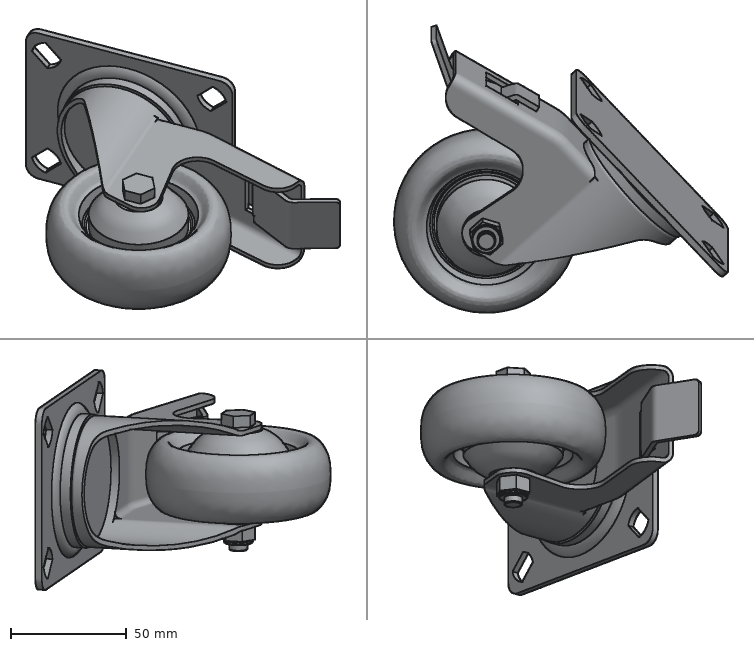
import cadquery as cq
import math


overall_length = 158.5
overall_height = 108.0
wheel_diameter = 80.0
wheel_offset = 32.0
wheel_radius = wheel_diameter / 2
axle_x = wheel_offset
axle_y = wheel_radius - overall_height

plate_length = 97.0
plate_width = 80.0
plate_thickness = 3.0
plate_corner_radius = 6.0
dish_radius = 33.6
dish_depth = 2.5
slot_spacing_x = 77.7
slot_spacing_z = 57.9
slot_width = 9.0
slot_side_length = 10.1
slot_end_bulge = 1.3
slot_angle = 45.0

ring_radius = 29.0
ring_top = plate_thickness + dish_depth
ring_bottom = 10.1

sheet = 2.0
head_radius = 28.5
head_round = 1.6
skirt_front_bottom = 15.2
skirt_curve_start = (-20.5, -16.8)
skirt_curve_end = (-12.5, -22.7)
toe_curve_start = (16.2, -70.4)
toe_curve_end = (20.1, -73.9)
notch_start = (38.8, -46.3)
notch_middle = (41.8, -37.4)
notch_end = (52.8, -34.2)
arm_outer = 22.0
arm_inner = arm_outer - sheet
web_top = 14.0
web_bottom = web_top + sheet
web_edge_radius = 5.0
blend_radius = 3.0
web_bend_x = 42.2
web_bend_radius = 23.8
web_slope = math.radians(16.6)
arm_end_x = 93.5
arm_end_depth = 16.0
arm_end_radius = 10.0
tip_x = 34.0
tip_y = -69.6
tip_radius = 8.0
tip_start_angle = -104.0
tip_end_angle = 8.0
fork_reach = 95.1

pedal_thickness = 2.4
pedal_half_width = 12.7
pedal_corner_radius = 2.0
pedal_bend_radius = 2.0
tab_half_width = 9.4
tab_gap = 0.8
tab_start_x = 55.2
tab_end_x = 66.0
lever_top = (69.7, -24.4)
lever_bend = (89.5, -35.0)
tab_joint = ((lever_top[0] + lever_bend[0]) / 2, (lever_top[1] + lever_bend[1]) / 2)
foot_slope = math.radians(23.7)
slot_start_x = 63.4
slot_end_x = 79.0
slot_half_width = 10.8

tyre_half_width = 15.0
crest_radius = 32.2
tread_shoulder = (36.5, 12.7)
tyre_step_radius = 25.8
tyre_step_z = 10.3
tyre_inner_wall = (28.5, 12.5)
hub_radius = 24.4
hub_lip_radius = 23.5
hub_groove_radius = 22.7
hub_face_z = 4.8
hub_groove_depth = 1.0
dome_radius = 21.5
dome_edge_z = 10.8
dome_flat_radius = 10.5
dome_middle = (17.8, 15.5)

bolt_radius = 4.0
wrench_size = 13.0
hex_diameter = wrench_size / math.cos(math.radians(30))
bolt_head_height = 5.0
bolt_end_z = -33.3
bolt_end_chamfer = 0.5
nut_height = 6.3
collar_radius = 6.3
collar_height = 1.7
collar_chamfer = 0.5


def polar(center, radius, degrees):
    """Point at an angle on a circle in the XY plane."""
    angle = math.radians(degrees)
    return (center[0] + radius * math.cos(angle), center[1] + radius * math.sin(angle))


def web_point(x, height=0.0):
    """Point on the sloping web's top line at x, moved out by a height along its normal."""
    y = -web_top - (x - web_bend_x) * math.tan(web_slope)
    return (x + height * math.sin(web_slope), y + height * math.cos(web_slope))


def below(depth):
    """Horizontal plane at a depth below the plate top, extruding downwards."""
    return cq.Workplane("XZ", origin=(0, -depth, 0))


def disc(radius, top, bottom):
    return below(top).circle(radius).extrude(bottom - top)


def axle_cylinder(radius, z_start, z_end):
    return (
        cq.Workplane("XY", origin=(axle_x, axle_y, z_start)).circle(radius).extrude(z_end - z_start)
    )


def axle_hexagon(z_start, z_end, turn):
    hexagon = cq.Workplane("XY", origin=(axle_x, axle_y, z_start)).transformed(rotate=(0, 0, turn))
    return hexagon.polygon(6, hex_diameter).extrude(z_end - z_start)


def slab(outline, half_width):
    """Closed XY outline extruded evenly to both sides of the middle plane."""
    return outline.extrude(half_width, both=True)


def slot_cutter(side_x, side_z):
    half_length = slot_side_length / 2
    half_width = slot_width / 2
    end = half_length + slot_end_bulge
    return (
        below(0)
        .center(side_x * slot_spacing_x / 2, side_z * slot_spacing_z / 2)
        .transformed(rotate=(0, 0, side_x * side_z * slot_angle))
        .moveTo(-half_length, -half_width)
        .lineTo(half_length, -half_width)
        .threePointArc((end, 0), (half_length, half_width))
        .lineTo(-half_length, half_width)
        .threePointArc((-end, 0), (-half_length, -half_width))
        .close()
        .extrude(plate_thickness)
    )


def make_dish():
    """Round bulge whose curved rim runs out level at the swivel ring."""
    return (
        cq.Workplane("XY")
        .moveTo(0, -ring_top)
        .lineTo(ring_radius, -ring_top)
        .tangentArcPoint((dish_radius, -plate_thickness), relative=False)
        .lineTo(0, -plate_thickness)
        .close()
        .revolve(360, (0, 0, 0), (0, 1, 0))
    )


def make_plate():
    plate = below(0).rect(plate_length, plate_width).extrude(plate_thickness)
    plate = plate.edges("|Y").fillet(plate_corner_radius)
    plate = plate.union(make_dish())
    for side_x in (-1, 1):
        for side_z in (-1, 1):
            plate = plate.cut(slot_cutter(side_x, side_z))
    return plate


def make_swivel_ring():
    return disc(ring_radius, ring_top, ring_bottom)


def skirt_block(inset, top):
    """Half-round block that blends into the arm faces; inset moves its walls inwards."""
    radius = head_radius - inset
    half_width = arm_outer - inset
    blend = blend_radius + inset
    blend_z = half_width + blend
    blend_x = math.sqrt((radius + blend) ** 2 - blend_z**2)
    ratio = radius / (radius + blend)
    join = (blend_x * ratio, blend_z * ratio)
    middle_angle = (math.atan2(-blend_z, -blend_x) - math.pi / 2) / 2
    middle = (blend_x + blend * math.cos(middle_angle), blend_z + blend * math.sin(middle_angle))
    return (
        below(top)
        .moveTo(blend_x, half_width)
        .threePointArc(middle, join)
        .threePointArc((-radius, 0), (join[0], -join[1]))
        .threePointArc((middle[0], -middle[1]), (blend_x, -half_width))
        .close()
        .extrude(fork_reach - top)
    )


def channel_block(inset):
    """Block under the bent web line with rounded upper edges; inset moves it inwards."""
    bend_x = web_bend_x - inset * math.tan(web_slope / 2)
    top = -web_top - inset
    drop = (fork_reach + sheet - bend_x) * math.tan(web_slope)
    outline = (
        cq.Workplane("XY")
        .moveTo(0, top)
        .lineTo(bend_x, top)
        .lineTo(fork_reach + sheet, top - drop)
        .lineTo(fork_reach + sheet, -fork_reach)
        .lineTo(0, -fork_reach)
        .close()
    )
    block = slab(outline, arm_outer - inset)
    bend_edge = cq.selectors.NearestToPointSelector((bend_x, top, 0))
    block = block.edges(bend_edge).fillet(web_bend_radius - inset)
    return block.faces(">Y").edges("|X").fillet(web_edge_radius - inset)


def fork_side():
    """Side shape of the skirt and arms."""
    along = (math.cos(web_slope), -math.sin(web_slope))
    end_top = web_point(arm_end_x)
    corner = (end_top[0] + arm_end_depth * along[1], end_top[1] - arm_end_depth * along[0])
    round_start = (corner[0] - arm_end_radius * along[0], corner[1] - arm_end_radius * along[1])
    round_end = (corner[0] - arm_end_radius * along[1], corner[1] + arm_end_radius * along[0])
    tip = (tip_x, tip_y)
    tip_middle_angle = (tip_start_angle + tip_end_angle) / 2
    outline = (
        cq.Workplane("XY")
        .moveTo(-head_radius, -ring_bottom)
        .lineTo(-head_radius, -skirt_front_bottom)
        .lineTo(*skirt_curve_start)
        .tangentArcPoint(skirt_curve_end, relative=False)
        .lineTo(*toe_curve_start)
        .tangentArcPoint(toe_curve_end, relative=False)
        .lineTo(*polar(tip, tip_radius, tip_start_angle))
        .threePointArc(
            polar(tip, tip_radius, tip_middle_angle), polar(tip, tip_radius, tip_end_angle)
        )
        .lineTo(*notch_start)
        .threePointArc(notch_middle, notch_end)
        .lineTo(*round_start)
        .tangentArcPoint(round_end, relative=False)
        .lineTo(*end_top)
        .lineTo(arm_end_x, -ring_bottom)
        .close()
    )
    return slab(outline, head_radius)


def web_slot():
    outline = cq.Workplane("XY").polyline([
        web_point(slot_start_x, sheet),
        web_point(slot_end_x, sheet),
        web_point(slot_end_x, -2 * sheet),
        web_point(slot_start_x, -2 * sheet),
    ]).close()
    return slab(outline, slot_half_width)


def make_fork():
    shell = skirt_block(0, web_bottom).union(channel_block(0))
    shell = shell.cut(skirt_block(sheet, web_bottom)).cut(channel_block(sheet))
    head = disc(head_radius, ring_bottom, web_bottom).faces(">Y").edges().fillet(head_round)
    cup = disc(head_radius - sheet, ring_bottom + sheet, web_bottom)
    shell = shell.union(head).cut(cup).intersect(fork_side())
    bore = axle_cylinder(bolt_radius, -arm_outer, arm_outer)
    return shell.cut(web_slot()).cut(bore)


def strip_outline(top_line):
    """Bent strip of even thickness that lies under a line of points."""
    angles = [
        math.atan2(b[1] - a[1], b[0] - a[0]) for a, b in zip(top_line, top_line[1:])
    ]
    before = [angles[0]] + angles
    after = angles + [angles[-1]]
    under = []
    for (x, y), first, second in zip(top_line, before, after):
        mean = (first + second) / 2
        reach = pedal_thickness / math.cos((second - first) / 2)
        under.append((x + reach * math.sin(mean), y - reach * math.cos(mean)))
    return cq.Workplane("XY").polyline(top_line + under[::-1]).close()


def make_brake_pedal():
    tip_x_top = overall_length - plate_length / 2 - pedal_thickness * math.sin(foot_slope)
    tip_y_top = lever_bend[1] + (tip_x_top - lever_bend[0]) * math.tan(foot_slope)
    tab_start = web_point(tab_start_x, tab_gap + pedal_thickness)
    tab_end = web_point(tab_end_x, tab_gap + pedal_thickness)
    tab = slab(strip_outline([tab_start, tab_end, lever_top, tab_joint]), tab_half_width)
    tab_edge = cq.selectors.NearestToPointSelector((*tab_end, 0))
    tab = tab.edges(tab_edge).fillet(pedal_thickness)
    lever = slab(strip_outline([lever_top, lever_bend, (tip_x_top, tip_y_top)]), pedal_half_width)
    bend_edge = cq.selectors.NearestToPointSelector((*lever_bend, 0))
    lever = lever.edges(bend_edge).fillet(pedal_bend_radius)
    under_bend = (lever_bend[0], lever_bend[1] - pedal_thickness, 0)
    under_edge = cq.selectors.NearestToPointSelector(under_bend)
    lever = lever.edges(under_edge).fillet(pedal_bend_radius + pedal_thickness)
    lever = lever.faces(">X").edges("not |Z").edges(">Z or <Z").fillet(pedal_corner_radius)
    return tab.union(lever)


def turned(half):
    """Turn an outline of (radius, z) points about the axle and mirror it below Z = 0."""
    upper = half.close().revolve(360, (0, 0, 0), (0, 1, 0)).translate((axle_x, axle_y, 0))
    return upper.union(upper.mirror("XY"))


def make_tyre():
    half = (
        cq.Workplane("XZ")
        .moveTo(hub_radius, 0)
        .lineTo(hub_radius, hub_face_z)
        .lineTo(tyre_step_radius, tyre_step_z)
        .spline(
            [tyre_inner_wall, (crest_radius, tyre_half_width)],
            tangents=[(1, 0.2), (1, 0)],
            includeCurrent=True,
        )
        .spline(
            [tread_shoulder, (wheel_radius, 0)], tangents=[(1, 0), (0, -1)], includeCurrent=True
        )
    )
    return turned(half)


def make_hub():
    groove_z = hub_face_z - hub_groove_depth
    half = (
        cq.Workplane("XZ")
        .moveTo(bolt_radius, 0)
        .lineTo(hub_radius, 0)
        .lineTo(hub_radius, hub_face_z)
        .lineTo(hub_lip_radius, hub_face_z)
        .lineTo(hub_groove_radius, groove_z)
        .lineTo(dome_radius, groove_z)
        .lineTo(dome_radius, dome_edge_z)
        .threePointArc(dome_middle, (dome_flat_radius, arm_inner))
        .lineTo(bolt_radius, arm_inner)
    )
    return turned(half)


def make_bolt():
    head = axle_hexagon(arm_outer, arm_outer + bolt_head_height, 0)
    shank = axle_cylinder(bolt_radius, bolt_end_z, arm_outer)
    return head.union(shank.faces("<Z").chamfer(bolt_end_chamfer))


def make_nut():
    nut_bottom = -arm_outer - nut_height
    nut_end = nut_bottom - collar_height
    collar = axle_cylinder(collar_radius, nut_end, nut_bottom).edges().chamfer(collar_chamfer)
    nut = axle_hexagon(nut_bottom, -arm_outer, 90).union(collar)
    return nut.cut(axle_cylinder(bolt_radius, nut_end, -arm_outer))


plate = make_plate()
swivel_ring = make_swivel_ring()
fork = make_fork()
brake_pedal = make_brake_pedal()
tyre = make_tyre()
hub = make_hub()
bolt = make_bolt()
nut = make_nut()

result = cq.Compound.makeCompound([
    plate.solids().val(),
    swivel_ring.solids().val(),
    fork.solids().val(),
    brake_pedal.solids().val(),
    tyre.solids().val(),
    hub.solids().val(),
    bolt.solids().val(),
    nut.solids().val(),
])